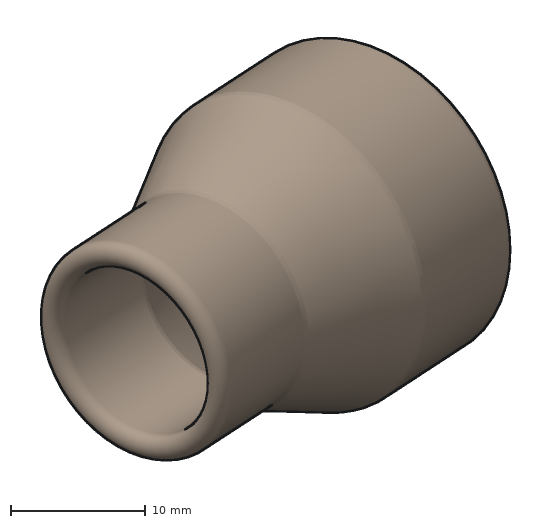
import cadquery as cq
import math

length = 30.0
wide_radius = 26.0 / 2
narrow_radius = 17.8 / 2
wall = 2.0
end_round = wall / 2
narrow_length = 10.0
wide_length = 11.0
joint_blend = 1.0

narrow_end = -length / 2
wide_end = length / 2
cone_start = narrow_end + narrow_length
cone_end = wide_end - wide_length
narrow_bore = narrow_radius - wall
wide_bore = wide_radius - wall

half_angle = math.atan2(wide_radius - narrow_radius, cone_end - cone_start)
inner_shift = wall * math.tan(half_angle / 2)

section = (
    cq.Workplane("XY")
    .moveTo(narrow_radius, narrow_end + end_round)
    .lineTo(narrow_radius, cone_start)
    .lineTo(wide_radius, cone_end)
    .lineTo(wide_radius, wide_end - end_round)
    .threePointArc((wide_radius - end_round, wide_end), (wide_bore, wide_end - end_round))
    .lineTo(wide_bore, cone_end + inner_shift)
    .lineTo(narrow_bore, cone_start + inner_shift)
    .lineTo(narrow_bore, narrow_end + end_round)
    .threePointArc(
        (narrow_radius - end_round, narrow_end), (narrow_radius, narrow_end + end_round)
    )
    .close()
)
tube = section.revolve(360, (0, 0, 0), (0, 1, 0))

joint_zone = cq.selectors.BoxSelector(
    (-length, cone_start - wall, -length), (length, cone_end + wall, length)
)
result = tube.edges("%CIRCLE").edges(joint_zone).fillet(joint_blend)